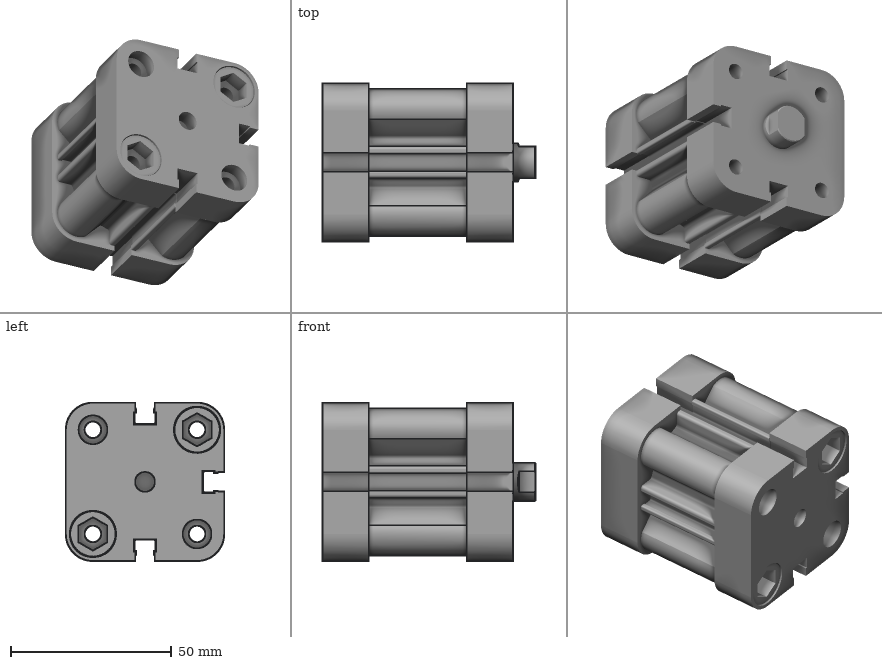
import cadquery as cq
import math

cap_size = 49.5
cap_length = 14.5
cap_corner_radius = 8.5
tube_length = 30.5
body_length = 2 * cap_length + tube_length
cap_starts = (0, cap_length + tube_length)
cap_half = cap_size / 2

hole_offset = cap_half - cap_corner_radius
hole_diameter = 5.1
counterbore_diameter = 9.0
counterbore_depth = 5.0
center_hole_diameter = 6.2
center_hole_depth = 6.0

cap_slot_angles = (0, 90, 180)
slot_clearance = 0.25
tube_neck_half_width = 2.75
tube_slot_half_width = 3.25
tube_slot_floor = 18.1
tube_slot_shoulder = 21.5
tube_slot_floor_round = 0.5
cap_neck_half_width = tube_neck_half_width + slot_clearance
cap_slot_half_width = tube_slot_half_width + slot_clearance
cap_slot_floor = tube_slot_floor - slot_clearance
cap_slot_shoulder = tube_slot_shoulder + slot_clearance

tube_radius = 18.5
column_radius = 6.75
web_half_width = 6.3
rib_half_width = 4.95
rib_top = 23.0
rib_outer_round = 1.0
rib_inner_round = 0.5
root_fillet = 1.0
side_angles = (0, 90, 180, 270)

rod_diameter = 12.0
rod_reach = 7.0
rod_chamfer = 0.3
rod_flat_width = 10.0
flat_start = 1.9
flat_run_out = 0.45

screw_diameter = 14.1
screw_recess_diameter = 14.5
screw_length = 8.0
screw_setback = 0.5
hex_across_flats = 9.0
hex_depth = 5.5

screw_corners = ((-1, 1), (1, -1))
open_corners = ((1, 1), (-1, -1))


def cylinder(diameter, length, start=0, y=0, z=0):
    """Solid cylinder along +X."""
    return cq.Workplane("YZ", origin=(start, y, z)).circle(diameter / 2).extrude(length)


def bar(half_width, bottom, top, start, length):
    """Rectangular bar along X, centred on Y = 0, between two Z heights."""
    size = (length, 2 * half_width, top - bottom)
    return cq.Workplane("XY", origin=(start, 0, bottom)).box(*size, centered=(False, True, False))


def turned(shape, angle):
    """Copy of a shape turned about the cylinder axis."""
    return shape.rotate((0, 0, 0), (1, 0, 0), angle)


def corner_position(corner):
    """Y and Z of a corner screw hole."""
    return corner[0] * hole_offset, corner[1] * hole_offset


def t_slot(neck_half_width, slot_half_width, floor, shoulder, start, length):
    """T-slot cutter opening toward +Z."""
    neck = bar(neck_half_width, floor, cap_half, start, length)
    return neck.union(bar(slot_half_width, floor, shoulder, start, length))


def round_edges(tube, points, radius):
    """Round the lengthwise edges through the given (Y, Z) points, on all four sides."""
    tolerance = 0.01
    edges = []
    for edge in tube.edges("|X").vals():
        middle = edge.Center()
        for angle in side_angles:
            turn = math.radians(angle)
            for y, z in points:
                edge_y = y * math.cos(turn) - z * math.sin(turn)
                edge_z = y * math.sin(turn) + z * math.cos(turn)
                if math.hypot(middle.y - edge_y, middle.z - edge_z) < tolerance:
                    edges.append(edge)
    return tube.newObject(edges).fillet(radius)


def mirrored_points(y, z):
    """A point and its mirror image across Y = 0."""
    return [(y, z), (-y, z)]


def make_tube():
    """Extruded tube: round core, four corner columns on diagonal webs and slotted ribs."""
    start = cap_length
    tube = cylinder(2 * tube_radius, tube_length, start)
    column_distance = hole_offset * math.sqrt(2)
    for angle in side_angles:
        column = cylinder(2 * column_radius, tube_length, start, 0, column_distance)
        outer_end = column_distance + math.sqrt(column_radius**2 - web_half_width**2)
        inner_part = bar(column_radius, 0, outer_end, start, tube_length)
        web = bar(web_half_width, 0, outer_end, start, tube_length)
        corner = web.union(column.cut(inner_part))
        tube = tube.union(turned(corner, angle + 45))
    for angle in side_angles:
        tube = tube.union(turned(bar(rib_half_width, 0, rib_top, start, tube_length), angle))

    rib_root_z = math.sqrt(tube_radius**2 - rib_half_width**2)
    web_root_angle = math.pi / 4 - math.asin(web_half_width / tube_radius)
    web_root = (tube_radius * math.sin(web_root_angle), tube_radius * math.cos(web_root_angle))
    tube = round_edges(tube, mirrored_points(rib_half_width, rib_root_z), root_fillet)
    tube = round_edges(tube, mirrored_points(*web_root), root_fillet)
    tube = round_edges(tube, mirrored_points(rib_half_width, rib_top), rib_outer_round)

    slot = t_slot(
        tube_neck_half_width, tube_slot_half_width, tube_slot_floor, tube_slot_shoulder, start, tube_length
    )
    slot = slot.edges("|X and <Z").fillet(tube_slot_floor_round)
    for angle in side_angles:
        tube = tube.cut(turned(slot, angle))
    return round_edges(tube, mirrored_points(tube_neck_half_width, rib_top), rib_inner_round)


def make_cap(start):
    """Square end cap with rounded corners and T-slots on three sides."""
    cap = bar(cap_half, -cap_half, cap_half, start, cap_length).edges("|X").fillet(cap_corner_radius)
    slot = t_slot(
        cap_neck_half_width, cap_slot_half_width, cap_slot_floor, cap_slot_shoulder, start, cap_length
    )
    for angle in cap_slot_angles:
        cap = cap.cut(turned(slot, angle))
    return cap


def make_housing():
    """Tube and end caps with all their holes."""
    housing = make_tube()
    for start in cap_starts:
        housing = housing.union(make_cap(start))
    for corner in screw_corners + open_corners:
        housing = housing.cut(cylinder(hole_diameter, body_length, 0, *corner_position(corner)))
    for corner in open_corners:
        housing = housing.cut(cylinder(counterbore_diameter, counterbore_depth, 0, *corner_position(corner)))
    recess_depth = screw_setback + screw_length
    for corner in screw_corners:
        housing = housing.cut(cylinder(screw_recess_diameter, recess_depth, 0, *corner_position(corner)))
    housing = housing.cut(cylinder(center_hole_diameter, center_hole_depth))
    return housing.cut(cylinder(rod_diameter, cap_length, cap_starts[1]))


def make_rod():
    """Piston rod seated in the front cap, with two wrench flats on its free end."""
    rod = cylinder(rod_diameter, cap_length + rod_reach, cap_starts[1])
    rod = rod.faces(">X").chamfer(rod_chamfer)
    rod_radius = rod_diameter / 2
    flat_y = rod_flat_width / 2
    tip = body_length + rod_reach
    flat_x = body_length + flat_start
    run_out_x = flat_x - flat_run_out
    outline = [(flat_x, flat_y), (tip, flat_y), (tip, rod_radius), (run_out_x, rod_radius)]
    flat = cq.Workplane("XY").polyline(outline).close().extrude(rod_radius, both=True)
    for angle in (0, 180):
        rod = rod.cut(turned(flat, angle))
    return rod


def make_screw(corner):
    """Hollow screw, set back from the rear face, with a hexagon socket."""
    y, z = corner_position(corner)
    screw = cylinder(screw_diameter, screw_length, screw_setback, y, z)
    screw = screw.cut(cylinder(hole_diameter, screw_length, screw_setback, y, z))
    hex_across_corners = hex_across_flats / math.cos(math.pi / 6)
    socket = cq.Workplane("YZ", origin=(screw_setback, y, z)).transformed(rotate=(0, 0, 90))
    return screw.cut(socket.polygon(6, hex_across_corners).extrude(hex_depth))


housing = make_housing()
rod = make_rod()
screws = [make_screw(corner) for corner in screw_corners]

result = cq.Compound.makeCompound([housing.val(), rod.val(), *[screw.val() for screw in screws]])